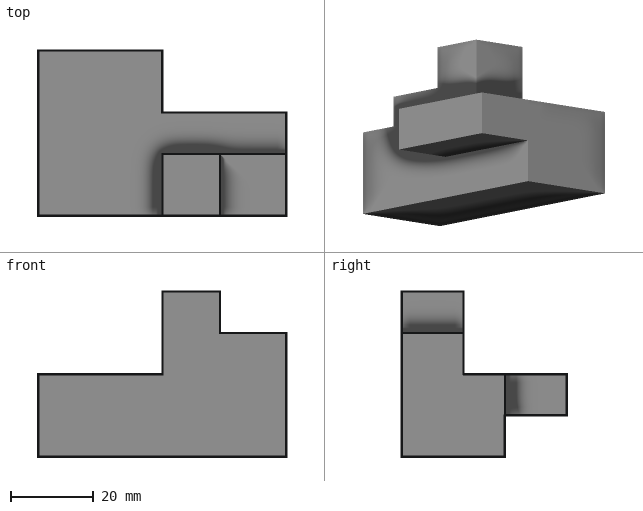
import cadquery as cq

length = 60.0
base_depth = 25.0
base_height = 20.0

flange_length = 30.0
flange_thickness = 10.0
overall_depth = 40.0

upright_depth = 15.0
overall_height = 40.0
tower_length = 14.0
shoulder_height = 30.0


def block(x_range, y_range, z_range):
    """Box spanning the given (start, end) ranges."""
    starts = (x_range[0], y_range[0], z_range[0])
    sizes = [end - start for start, end in (x_range, y_range, z_range)]
    return cq.Workplane("XY").box(*sizes, centered=False).translate(starts)


def make_base():
    return block((0, length), (0, base_depth), (0, base_height))


def make_flange():
    flange_bottom = base_height - flange_thickness
    return block((0, flange_length), (0, overall_depth), (flange_bottom, base_height))


def make_upright():
    """Tall tower beside the flange end, with a lower shoulder out to the +X face."""
    tower_start = flange_length
    tower_end = tower_start + tower_length
    tower = block((tower_start, tower_end), (0, upright_depth), (0, overall_height))
    shoulder = block((tower_start, length), (0, upright_depth), (0, shoulder_height))
    return tower.union(shoulder)


result = make_base().union(make_flange()).union(make_upright()).clean()